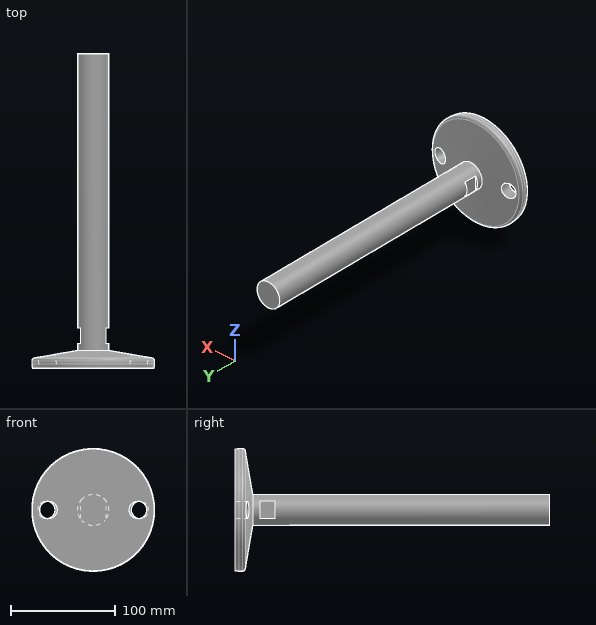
import cadquery as cq
import math

total_length = 302.0
foot_diameter = 118.0
shaft_diameter = 30.0

rim_height = 9.7
cone_top_height = 17.2
shoulder_radius = 3.0
base_taper_height = 4.0
base_taper_inset = 0.5

flats_start = 24.0
flats_length = 14.8
across_flats = 24.8

hole_diameter = 16.5
hole_offset = 43.0

foot_radius = foot_diameter / 2
shaft_radius = shaft_diameter / 2
cone_angle = math.atan2(cone_top_height - rim_height, foot_radius - shaft_radius)


def make_foot():
    """Round foot with a tapered base edge, a conical upper face and a rounded shoulder."""
    shoulder_setback = shoulder_radius * math.tan((math.pi / 2 - cone_angle) / 2)
    shoulder_end = (
        foot_radius - shoulder_setback * math.cos(cone_angle),
        rim_height + shoulder_setback * math.sin(cone_angle),
    )
    profile = (
        cq.Workplane("XY")
        .moveTo(0, 0)
        .lineTo(foot_radius - base_taper_inset, 0)
        .lineTo(foot_radius, base_taper_height)
        .lineTo(foot_radius, rim_height - shoulder_setback)
        .tangentArcPoint(shoulder_end, relative=False)
        .lineTo(shaft_radius, cone_top_height)
        .lineTo(0, cone_top_height)
        .close()
    )
    return profile.revolve(360, (0, 0, 0), (0, 1, 0))


def make_shaft():
    """Plain shaft that runs from the foot face to the far end."""
    axis_direction = cq.Vector(0, 1, 0)
    return cq.Workplane(
        cq.Solid.makeCylinder(shaft_radius, total_length, cq.Vector(0, 0, 0), axis_direction)
    )


def make_flat_cutter(side):
    """Block that cuts one wrench flat; side is -1 or 1 along X."""
    return cq.Workplane("XY").box(shaft_radius, flats_length, shaft_diameter).translate(
        (side * (across_flats + shaft_radius) / 2, flats_start + flats_length / 2, 0)
    )


def make_hole_cutter(side):
    """Cylinder for one tilted hole, leaning outward away from the foot face."""
    direction = cq.Vector(side * math.sin(cone_angle), math.cos(cone_angle), 0)
    reach = cone_top_height
    start = cq.Vector(side * hole_offset, 0, 0) - direction * reach
    return cq.Workplane(cq.Solid.makeCylinder(hole_diameter / 2, 2 * reach, start, direction))


result = make_foot().union(make_shaft())
for side in (-1, 1):
    result = result.cut(make_flat_cutter(side))
    result = result.cut(make_hole_cutter(side))